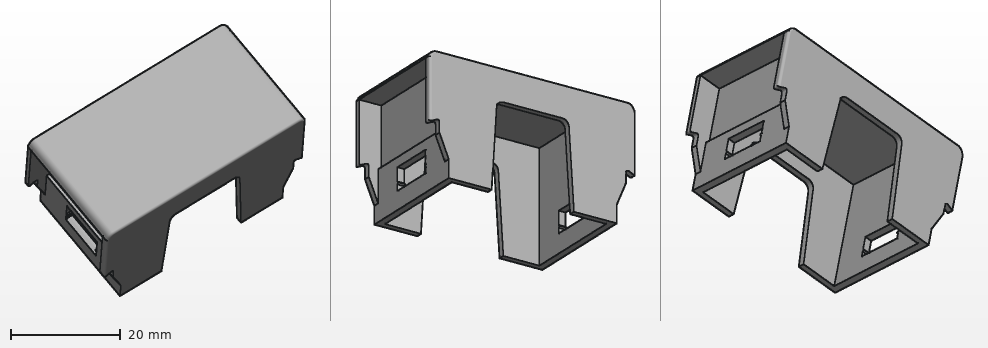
import cadquery as cq
import math

width = 24.8
length = 45.05
height = 24.95
side_wall = 1.3
end_wall = 1.5
cover_plate = 1.4

turn_about_y = 33.7
turn_about_x = 20.0

bevel_angle = 60.0
bevel_round = 1.5
rim_round = 0.5

foot_half_length = 18.4
ledge_height = 10.6
ledge_depth = 0.7

knee_height = 3.8
hook_half_length = 20.4
hook_height = 8.6
notch_peak = 11.35
notch_round = 0.4
lip_bottom = 10.4
lip_round = 0.3

opening_height = 18.15
opening_half_bottom = 9.0
opening_half_top = 7.85
opening_round = 1.5

window_width = 9.35
window_bottom = 3.85
window_top = 8.6
sill_rise = 0.2
sill_slope_depth = 0.8
ridge_height = 5.45
ridge_size = 0.3

half_length = length / 2
inner_width = width - 2 * side_wall
plate_underside = height - cover_plate
end_wall_inside = foot_half_length - end_wall
upper_wall_outside = foot_half_length - ledge_depth


def along_width(outline, span):
    """Extrude a closed (y, z) outline over a span centred on the width."""
    return cq.Workplane("YZ").polyline(outline).close().extrude(span / 2, both=True)


def mirrored_outline(right_half):
    """Close a (y, z) outline from its +Y half by mirroring it about the Z axis."""
    left_half = [(-y, z) for y, z in reversed(right_half)]
    return right_half + left_half


def centred_box(size_x, y_min, y_max, z_min, z_max):
    box = cq.Workplane("XY").box(size_x, y_max - y_min, z_max - z_min, centered=(True, False, False))
    return box.translate((0, y_min, z_min))


def at_both_ends(feature):
    return feature.union(feature.mirror("XZ"))


def rounded_block():
    """Solid block with bevelled top ends and rounded side face rims."""
    bevel_run = cover_plate / math.tan(math.radians(bevel_angle))
    bevel_top = half_length - bevel_run
    outline = mirrored_outline([(half_length, 0), (half_length, plate_underside), (bevel_top, height)])
    block = along_width(outline, width)
    block = block.faces(">Z").edges("|X").fillet(bevel_round)
    rim = block.faces("<X or >X").edges("not <Z")
    return rim.fillet(rim_round)


def side_profile():
    """Envelope of the side plates: feet, hooks, notches and lips."""
    right_half = [
        (foot_half_length, 0),
        (foot_half_length, knee_height),
        (hook_half_length, hook_height),
        (hook_half_length, notch_peak),
        (half_length, lip_bottom),
        (half_length, height),
    ]
    profile = along_width(mirrored_outline(right_half), width)

    def edges_at(y, z):
        margin = lip_round / 2
        return cq.selectors.BoxSelector(
            (-width, y - margin, z - margin), (width, y + margin, z + margin), boundingbox=False
        )

    for side in (-1, 1):
        profile = profile.edges(edges_at(side * hook_half_length, notch_peak)).fillet(notch_round)
        profile = profile.edges(edges_at(side * half_length, lip_bottom)).fillet(lip_round)
    return profile


def cavity():
    return centred_box(inner_width, -end_wall_inside, end_wall_inside, 0, plate_underside)


def end_recess():
    """Space outside one end wall, between the side plates and below the cover plate."""
    lower = centred_box(inner_width, foot_half_length, half_length, 0, ledge_height)
    upper = centred_box(inner_width, upper_wall_outside, half_length, ledge_height, plate_underside)
    return lower.union(upper)


def side_opening():
    right_half = [(opening_half_bottom, 0), (opening_half_top, opening_height)]
    opening = along_width(mirrored_outline(right_half), width)
    return opening.faces(">Z").edges("|X").fillet(opening_round)


def window():
    """Opening through the +Y end wall, less the ridge on each jamb."""
    sill_flat = window_bottom + sill_rise
    outline = [
        (foot_half_length, window_bottom),
        (foot_half_length - sill_slope_depth, sill_flat),
        (end_wall_inside, sill_flat),
        (end_wall_inside, window_top),
        (foot_half_length, window_top),
    ]
    opening = along_width(outline, window_width)
    for side in (-1, 1):
        jamb = side * window_width / 2
        ridge = (
            cq.Workplane("XZ", origin=(0, foot_half_length, 0))
            .polyline([
                (jamb, ridge_height - ridge_size),
                (jamb - side * ridge_size, ridge_height),
                (jamb, ridge_height + ridge_size),
            ])
            .close()
            .extrude(end_wall)
        )
        opening = opening.cut(ridge)
    return opening


body = rounded_block().intersect(side_profile())
body = body.cut(cavity()).cut(side_opening())
body = body.cut(at_both_ends(end_recess())).cut(at_both_ends(window()))

result = body.rotate((0, 0, 0), (0, 1, 0), turn_about_y).rotate((0, 0, 0), (1, 0, 0), turn_about_x)